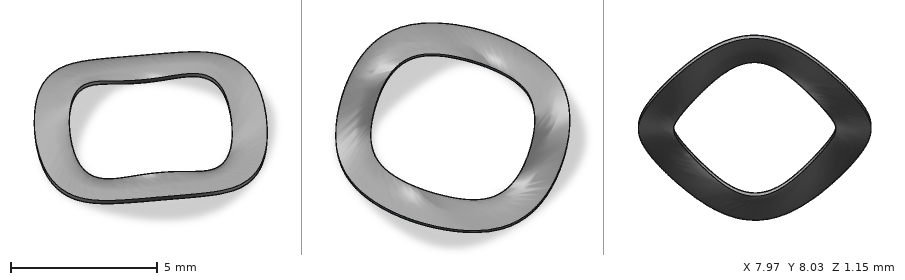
import cadquery as cq
import math

OVERALL_DIAMETER = 8.03
HOLE_DIAMETER = 5.62
OVERALL_HEIGHT = 1.15
THICKNESS = 0.16
WAVE_COUNT = 3
RADIAL_DRAW_IN = 0.028
RULING_TWIST = math.radians(22)
POINTS_PER_WAVE = 16

WAVE_AMPLITUDE = (OVERALL_HEIGHT - THICKNESS) / 2


def wave_edge(crest_radius, z_offset, start_angle):
    """Closed wavy rim with a crest on +Y and a trough on -Y; start_angle sets its seam."""
    point_count = WAVE_COUNT * POINTS_PER_WAVE
    points = []
    for i in range(point_count):
        angle = start_angle + 2 * math.pi * i / point_count
        phase = WAVE_COUNT * angle
        radius = crest_radius - RADIAL_DRAW_IN * math.cos(phase) ** 2
        height = z_offset - WAVE_AMPLITUDE * math.sin(phase)
        points.append(cq.Vector(radius * math.cos(angle), radius * math.sin(angle), height))
    return cq.Edge.makeSpline(points, periodic=True)


outer_radius = OVERALL_DIAMETER / 2
hole_radius = HOLE_DIAMETER / 2
half_thickness = THICKNESS / 2
rims = [
    wave_edge(outer_radius, -half_thickness, 0),
    wave_edge(outer_radius, half_thickness, 0),
    wave_edge(hole_radius, half_thickness, -RULING_TWIST),
    wave_edge(hole_radius, -half_thickness, -RULING_TWIST),
]

faces = [cq.Face.makeRuledSurface(rims[i - 1], rims[i]) for i in range(len(rims))]
washer = cq.Solid.makeSolid(cq.Shell.makeShell(faces))

result = cq.Workplane("XY").newObject([washer])